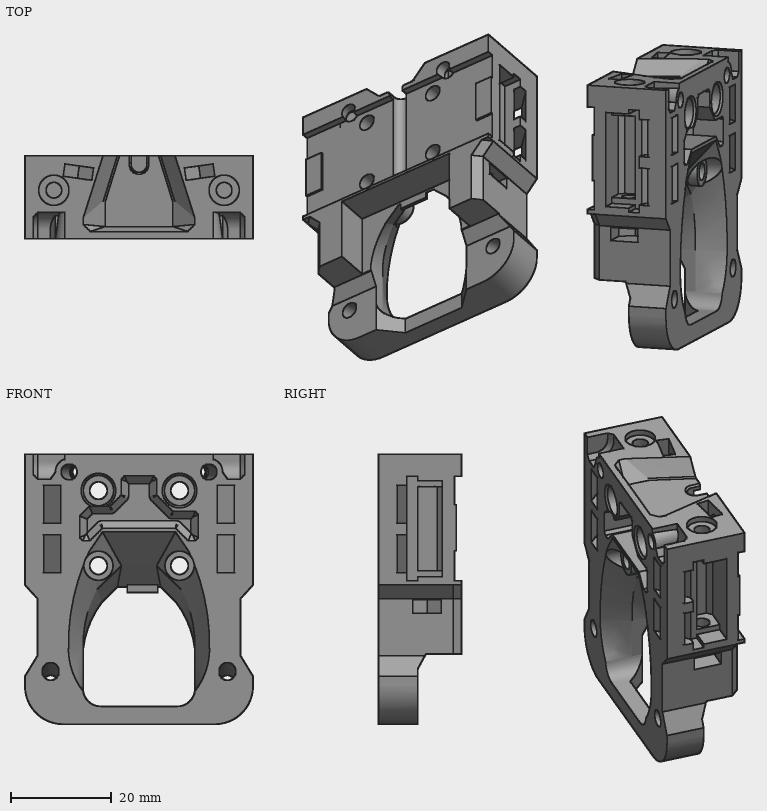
import cadquery as cq
import math

WIDTH = 45.25
DEPTH = 16.5
HEIGHT = 53.55
HALF_WIDTH = WIDTH / 2

WAIST_HALF_WIDTH = 20.15
WAIST_TOP = 24.9
SHOULDER_Z = 27.65
WAIST_BOTTOM = 13.6
FOOT_SHOULDER_Z = 9.55
FOOT_RADIUS = 7.6
FOOT_DEPTH = 7.8
FOOT_STEP_DEPTH = 9.45
FOOT_STEP_Z = 13.95
FOOT_STEP_LOW_Z = 11.0
REAR_CHAMFER = 1.65

SCREW_X = 8.05
UPPER_SCREW_Z = 46.35
LOWER_SCREW_Z = 31.45
SCREW_RADIUS = 1.7
SEAT_RADIUS = 3.0
SEAT_RIM = 0.45
SEAT_DEPTH = 4.6
BOSS_RADIUS = 2.9
BOSS_FRONT = 3.2

TOP_HOLE_X = 13.9
TOP_HOLE_Z = 50.05
TOP_HOLE_RADIUS = 1.55
TOP_HOLE_LEAN = 8.0
FOOT_HOLE_X = 17.5
FOOT_HOLE_Z = 10.5
FOOT_HOLE_RADIUS = 1.65
FOOT_HOLE_LEAN = 18.0

POST_X = 16.9
POST_Y = 9.65
POST_RADIUS = 1.55
POST_SEAT_RADIUS = 3.0
POST_SEAT_DEPTH = 1.2
NUT_FLATS = 5.75
NUT_CORNERS = NUT_FLATS / math.cos(math.pi / 6)
HALF_HEX_ANGLE = 30
NUT_THICKNESS = 2.45
TOP_NUT_Y = 13.25
SIDE_NUT_BOTTOM = 22.0
SIDE_NUT_TOP = 24.7

FUNNEL_DEPTH = 5.6
THROAT_BACK = 9.65
TUBE_HALF_WIDTH = 11.05
SILL_Z = 3.6
TUBE_BOTTOM = (7.5, SILL_Z)
TUBE_CORNER = (9.95, 4.5)
TUBE_SIDE = (TUBE_HALF_WIDTH, 6.55)
TUBE_BELLY = (TUBE_HALF_WIDTH, 15.0)
FRONT_SECTION = ((13.05, 10.05), (14.0, 14.45), (13.05, 24.65), (9.85, 34.3), (7.25, 38.15))
FUNNEL_END_SECTION = (None, TUBE_BELLY, (10.4, 21.45), (8.3, 26.8), (3.5, 31.45))
THROAT_END_SECTION = (None, TUBE_BELLY, (9.8, 19.8), (7.4, 24.1), (4.3, 27.2))
HOLLOW_HALF_WIDTH = 13.1
HOLLOW_TOP = 27.85
SILL_DEPTH = 3.65
TONGUE_LEFT = -2.35
TONGUE_RIGHT = 3.75
TONGUE_BOTTOM = 26.1
TONGUE_FRONT = 9.1

POCKET_STEP_X = 18.85
POCKET_INNER_X = 13.95
POCKET_BACK = 12.7
CORE_BEVEL = 1.0
STEP_BOTTOM = 29.3
STEP_TOP = 48.3
CORE_BOTTOM = 30.5
CORE_TOP = 47.15
POCKET_MIDDLE = 7.8
POCKET_FRONT = 5.6
WINDOW_INNER_X = 15.5
WINDOW_HEIGHT = 7.5
WINDOW_BOTTOMS = (30.05, 39.85)

RECESS_BOTTOM = 28.5
RECESS_TOP = 49.2
RECESS_DEPTH = 1.4
PAD_BOTTOM = 34.4
PAD_TOP = 43.55
PAD_HEIGHT = 0.4

TRAY_DEPTH = 3.2
TRAY_REAR_TOP = 7.1
TRAY_REAR_FLOOR = 4.3
TRAY_SIDE_TOP = 11.05
TRAY_SIDE_FLOOR = 7.05
TRAY_SIDE_TOP_Y = 4.25
TRAY_SIDE_FLOOR_Y = 7.5
TRAY_TOP_FRONT = 1.45
TRAY_FLOOR_FRONT = 2.35
TRAY_TOP_CORNER = 1.4
TRAY_FLOOR_CORNER = 0.1
TRAY_BEVEL = 0.45
SLOT_HALF_WIDTH = 1.55
SLOT_BEVEL = 0.4
SLOT_TIP_Y = 13.2

NOTCH_OUTER_X = 21.0
NOTCH_INNER_X = 14.7
NOTCH_DEPTH = 5.25
NOTCH_BOTTOM = 48.6
NOTCH_FLOOR_RADIUS = 3.45
NOTCH_CHAMFER = 0.95
TOP_HOLE_SLEEVE = 2.7
SLEEVE_FOOT_X = 17.55

FRONT_RECESS_DEPTH = 7.8
FRONT_RECESS_INSET = 1.5
RECESS_ARM_X = 11.8
RECESS_ARM_BOTTOM = 36.4
RECESS_LEFT_ARM_TOP = 43.25
RECESS_RIGHT_ARM_TOP = 42.2
RECESS_BAR_X = 7.25
RECESS_BAR_TOP = 38.9
RECESS_CROWN_X = 3.55
RECESS_CROWN_FOOT = 45.45
RECESS_CROWN_TOP = 49.25
RECESS_CORNER_CUT = 0.65
RECESS_SHOULDER_CUT = 1.95

SIDES = (-1, 1)


def box(x0, x1, y0, y1, z0, z1):
    """Box between opposite corners, given in any order along each axis."""
    size = (abs(x1 - x0), abs(y1 - y0), abs(z1 - z0))
    middle = ((x0 + x1) / 2, (y0 + y1) / 2, (z0 + z1) / 2)
    return cq.Workplane("XY").box(*size).translate(middle)


def front_plane(y):
    """Work plane parallel to the front face, with local axes X and Z."""
    return cq.Workplane(cq.Plane((0, y, 0), (1, 0, 0), (0, -1, 0)))


def rod(start, direction, radius, length):
    return cq.Workplane(cq.Solid.makeCylinder(radius, length, cq.Vector(*start), cq.Vector(*direction)))


def y_rod(x, z, radius, y0, y1):
    return rod((x, y0, z), (0, 1, 0), radius, y1 - y0)


def body():
    corner = FOOT_RADIUS * (1 - math.sqrt(0.5))
    foot_flat = HALF_WIDTH - FOOT_RADIUS
    outline = (
        front_plane(0)
        .moveTo(-foot_flat, 0)
        .lineTo(foot_flat, 0)
        .threePointArc((HALF_WIDTH - corner, corner), (HALF_WIDTH, FOOT_RADIUS))
        .lineTo(HALF_WIDTH, FOOT_SHOULDER_Z)
        .lineTo(WAIST_HALF_WIDTH, WAIST_BOTTOM)
        .lineTo(WAIST_HALF_WIDTH, WAIST_TOP)
        .lineTo(HALF_WIDTH, SHOULDER_Z)
        .lineTo(HALF_WIDTH, HEIGHT)
        .lineTo(-HALF_WIDTH, HEIGHT)
        .lineTo(-HALF_WIDTH, SHOULDER_Z)
        .lineTo(-WAIST_HALF_WIDTH, WAIST_TOP)
        .lineTo(-WAIST_HALF_WIDTH, WAIST_BOTTOM)
        .lineTo(-HALF_WIDTH, FOOT_SHOULDER_Z)
        .lineTo(-HALF_WIDTH, FOOT_RADIUS)
        .threePointArc((-HALF_WIDTH + corner, corner), (-foot_flat, 0))
        .close()
    )
    block = outline.extrude(-DEPTH)
    behind_foot = [
        (FOOT_DEPTH, 0),
        (FOOT_DEPTH, FOOT_STEP_LOW_Z),
        (FOOT_STEP_DEPTH, FOOT_STEP_Z),
        (DEPTH, FOOT_STEP_Z),
        (DEPTH, 0),
    ]
    return block.cut(cq.Workplane("YZ").polyline(behind_foot).close().extrude(HALF_WIDTH, both=True))


def rear_edge_chamfer(side):
    """Bevel of the rear edge along the waist and its sloping shoulder."""
    def section(half_width, z):
        return (
            cq.Workplane("XY", origin=(0, 0, z))
            .moveTo(side * half_width, DEPTH - REAR_CHAMFER)
            .lineTo(side * half_width, DEPTH)
            .lineTo(side * (half_width - REAR_CHAMFER), DEPTH)
            .close()
        )

    height = WAIST_TOP - FOOT_STEP_Z
    waist = section(WAIST_HALF_WIDTH, FOOT_STEP_Z).extrude(height)
    wires = [section(WAIST_HALF_WIDTH, WAIST_TOP).val(), section(HALF_WIDTH, SHOULDER_Z).val()]
    return waist.union(cq.Workplane(cq.Solid.makeLoft(wires, True)))


def opening_section(y, lower_bulge, belly, flank, shoulder, top):
    """Wire of the big opening; points are (half width, Z) pairs, mirrored about X = 0.

    Without a lower bulge the side runs straight up from the bottom corner to the belly.
    """
    bottom, corner, side = TUBE_BOTTOM, TUBE_CORNER, TUBE_SIDE

    def mirrored(point):
        return (-point[0], point[1])

    outline = front_plane(y).moveTo(*mirrored(bottom)).lineTo(*bottom).threePointArc(corner, side)
    if lower_bulge:
        outline = outline.threePointArc(lower_bulge, belly)
    else:
        outline = outline.lineTo(*belly)
    outline = outline.threePointArc(flank, shoulder).lineTo(*top).lineTo(*mirrored(top))
    outline = outline.lineTo(*mirrored(shoulder)).threePointArc(mirrored(flank), mirrored(belly))
    if lower_bulge:
        outline = outline.threePointArc(mirrored(lower_bulge), mirrored(side))
    else:
        outline = outline.lineTo(*mirrored(side))
    return outline.threePointArc(mirrored(corner), mirrored(bottom)).close().val()


def opening():
    """Straight tube through the part, widened by a funnel at the front and a taller throat."""
    front = opening_section(0, *FRONT_SECTION)
    middle = opening_section(FUNNEL_DEPTH, *FUNNEL_END_SECTION)
    rear = opening_section(THROAT_BACK, *THROAT_END_SECTION)
    mouth = cq.Workplane(cq.Solid.makeLoft([front, middle], True))
    throat = cq.Workplane(cq.Solid.makeLoft([middle, rear], True))
    tongue = box(TONGUE_LEFT, TONGUE_RIGHT, TONGUE_FRONT, THROAT_BACK, TONGUE_BOTTOM, SHOULDER_Z)
    return mouth.union(throat.cut(tongue))


def rear_hollow():
    """Hollow behind the throat, open downwards, with the foot thinned behind the sill."""
    width = HOLLOW_HALF_WIDTH
    hollow = box(-width, width, THROAT_BACK, DEPTH, 0, HOLLOW_TOP)
    sill_half_width = TUBE_HALF_WIDTH - (FOOT_DEPTH - SILL_DEPTH)
    thinning = [
        (-sill_half_width, SILL_DEPTH),
        (sill_half_width, SILL_DEPTH),
        (TUBE_HALF_WIDTH, FOOT_DEPTH),
        (TUBE_HALF_WIDTH, THROAT_BACK),
        (-TUBE_HALF_WIDTH, THROAT_BACK),
        (-TUBE_HALF_WIDTH, FOOT_DEPTH),
    ]
    return hollow.union(cq.Workplane("XY").polyline(thinning).close().extrude(FOOT_STEP_Z))


def lower_screw_bosses():
    bosses = cq.Workplane()
    for x in (-SCREW_X, SCREW_X):
        bosses = bosses.add(y_rod(x, LOWER_SCREW_Z, BOSS_RADIUS, BOSS_FRONT, THROAT_BACK))
    return bosses.combine()


def screw_holes():
    """Four straight holes; the upper two are seated behind a bevelled rim."""
    holes = cq.Workplane()
    for x in (-SCREW_X, SCREW_X):
        for z in (LOWER_SCREW_Z, UPPER_SCREW_Z):
            holes = holes.add(y_rod(x, z, SCREW_RADIUS, 0, DEPTH))
        holes = holes.add(y_rod(x, LOWER_SCREW_Z, BOSS_RADIUS, 0, BOSS_FRONT))
        holes = holes.add(y_rod(x, UPPER_SCREW_Z, SEAT_RADIUS, 0, SEAT_DEPTH))
        rim = cq.Solid.makeCone(
            SEAT_RADIUS + SEAT_RIM, SEAT_RADIUS, SEAT_RIM, cq.Vector(x, 0, UPPER_SCREW_Z), cq.Vector(0, 1, 0)
        )
        holes = holes.add(cq.Workplane(rim))
    return holes.combine()


def top_hole_rod(side, radius):
    """Rod along a leaning top hole, long enough to pass through both faces."""
    lean = math.tan(math.radians(TOP_HOLE_LEAN))
    overrun = DEPTH / 4
    start = (side * (TOP_HOLE_X + lean * overrun), -overrun, TOP_HOLE_Z)
    return rod(start, (-side * lean, 1, 0), radius, DEPTH + 2 * overrun)


def foot_hole(side):
    lean = math.tan(math.radians(FOOT_HOLE_LEAN))
    start = (side * FOOT_HOLE_X, -FOOT_DEPTH, FOOT_HOLE_Z + lean * FOOT_DEPTH)
    return rod(start, (0, 1, -lean), FOOT_HOLE_RADIUS, 4 * FOOT_DEPTH)


def top_nut_trap(side):
    """Slot from the top face whose lower end holds a hexagonal nut, square to the leaning hole."""
    lean = math.tan(math.radians(TOP_HOLE_LEAN))
    hexagon = (
        cq.Workplane("XZ")
        .polygon(6, NUT_CORNERS)
        .extrude(NUT_THICKNESS / 2, both=True)
        .rotate((0, 0, 0), (0, 1, 0), HALF_HEX_ANGLE)
    )
    rise = HEIGHT - TOP_HOLE_Z
    half_nut = NUT_FLATS / 2
    entry = box(-half_nut, half_nut, -NUT_THICKNESS / 2, NUT_THICKNESS / 2, 0, rise)
    trap = hexagon.union(entry).rotate((0, 0, 0), (0, 0, 1), side * TOP_HOLE_LEAN)
    return trap.translate((side * (TOP_HOLE_X - lean * TOP_NUT_Y), TOP_NUT_Y, TOP_HOLE_Z))


def post_hole(side):
    """Vertical screw hole from its seat in the top face down to the side nut trap."""
    x = side * POST_X
    shaft = rod((x, POST_Y, SIDE_NUT_BOTTOM), (0, 0, 1), POST_RADIUS, HEIGHT - SIDE_NUT_BOTTOM)
    seat = rod((x, POST_Y, HEIGHT - POST_SEAT_DEPTH), (0, 0, 1), POST_SEAT_RADIUS, POST_SEAT_DEPTH)
    return shaft.union(seat)


def side_nut_trap(side):
    height = SIDE_NUT_TOP - SIDE_NUT_BOTTOM
    x = side * POST_X
    half_nut = NUT_FLATS / 2
    hexagon = (
        cq.Workplane("XY", origin=(x, POST_Y, SIDE_NUT_BOTTOM))
        .polygon(6, NUT_CORNERS)
        .extrude(height)
    )
    outer_x = side * HALF_WIDTH
    entry = box(x, outer_x, POST_Y - half_nut, POST_Y + half_nut, SIDE_NUT_BOTTOM, SIDE_NUT_TOP)
    return hexagon.union(entry)


def side_pocket(side):
    """Stepped pocket in a side face, with two windows running into it at 45 degrees."""
    outer, step, inner = side * HALF_WIDTH, side * POCKET_STEP_X, side * POCKET_INNER_X
    pocket = box(outer, step, POCKET_MIDDLE, POCKET_BACK, STEP_BOTTOM, STEP_TOP)
    core = [
        (outer, POCKET_MIDDLE),
        (inner, POCKET_MIDDLE),
        (inner, POCKET_BACK - CORE_BEVEL),
        (inner + side * CORE_BEVEL, POCKET_BACK),
        (outer, POCKET_BACK),
    ]
    core_base = cq.Workplane("XY", origin=(0, 0, CORE_BOTTOM))
    pocket = pocket.union(core_base.polyline(core).close().extrude(CORE_TOP - CORE_BOTTOM))
    pocket = pocket.union(box(outer, step, POCKET_FRONT, POCKET_MIDDLE, RECESS_BOTTOM, RECESS_TOP))
    passage = [
        (side * WINDOW_INNER_X, 0),
        (step, 0),
        (outer, HALF_WIDTH - POCKET_STEP_X),
        (outer, HALF_WIDTH - WINDOW_INNER_X),
    ]
    for z in WINDOW_BOTTOMS:
        window = cq.Workplane("XY", origin=(0, 0, z)).polyline(passage).close().extrude(WINDOW_HEIGHT)
        pocket = pocket.union(window)
    return pocket


def rear_recess():
    """Shallow recess across the rear face that leaves a low pad on both side walls."""
    floor = DEPTH - RECESS_DEPTH
    recess = box(-HALF_WIDTH, HALF_WIDTH, floor, DEPTH, RECESS_BOTTOM, RECESS_TOP)
    for side in SIDES:
        pad = box(side * POCKET_STEP_X, side * HALF_WIDTH, floor, floor + PAD_HEIGHT, PAD_BOTTOM, PAD_TOP)
        recess = recess.cut(pad)
    return recess


def tray():
    """Sunken tray that narrows towards the rear, with a bevel around its floor."""
    def section(z, inset, rear, side_y, side, front_y, corner):
        half = [
            (rear - inset, DEPTH),
            (side - inset, side_y),
            (side - inset, front_y + corner),
            (side - inset - corner, front_y),
        ]
        mirrored = [(-x, y) for x, y in reversed(half)]
        return cq.Workplane("XY", origin=(0, 0, z)).polyline(half + mirrored).close().val()

    low = (TRAY_REAR_FLOOR, TRAY_SIDE_FLOOR_Y, TRAY_SIDE_FLOOR, TRAY_FLOOR_FRONT, TRAY_FLOOR_CORNER)
    high = (TRAY_REAR_TOP, TRAY_SIDE_TOP_Y, TRAY_SIDE_TOP, TRAY_TOP_FRONT, TRAY_TOP_CORNER)
    floor_z = HEIGHT - TRAY_DEPTH
    bevel_z = floor_z + TRAY_BEVEL / 2
    floor = section(floor_z, TRAY_BEVEL, *low)
    wall_foot = section(bevel_z, 0, *low)
    rim = section(HEIGHT, 0, *high)
    return cq.Workplane(cq.Solid.makeLoft([floor, wall_foot, rim], True))


def rear_slot():
    """Round-ended slot with a bevelled rim, from the tray floor into the rear recess."""
    round_y = SLOT_TIP_Y + SLOT_HALF_WIDTH
    overrun_y = DEPTH + SLOT_HALF_WIDTH
    bevel_z = HEIGHT - TRAY_DEPTH - SLOT_BEVEL

    def outline(z):
        return (
            cq.Workplane("XY", origin=(0, 0, z))
            .moveTo(SLOT_HALF_WIDTH, overrun_y)
            .lineTo(SLOT_HALF_WIDTH, round_y)
            .threePointArc((0, SLOT_TIP_Y), (-SLOT_HALF_WIDTH, round_y))
            .lineTo(-SLOT_HALF_WIDTH, overrun_y)
            .close()
        )

    shaft = outline(RECESS_BOTTOM).extrude(bevel_z - RECESS_BOTTOM)
    return shaft.union(outline(bevel_z).extrude(SLOT_BEVEL, taper=-45))


def corner_notch(side):
    """Scooped notch beside a top hole, whose flared sleeve is left standing."""
    notch = (
        box(NOTCH_INNER_X, NOTCH_OUTER_X, 0, NOTCH_DEPTH, NOTCH_BOTTOM, HEIGHT)
        .edges(">Y and <Z")
        .fillet(NOTCH_FLOOR_RADIUS)
        .faces(">X")
        .edges("not(<Y or >Z)")
        .chamfer(NOTCH_CHAMFER)
    )
    sleeve_side = TOP_HOLE_X + TOP_HOLE_SLEEVE
    foot = [
        (NOTCH_INNER_X, NOTCH_BOTTOM),
        (SLEEVE_FOOT_X, NOTCH_BOTTOM),
        (sleeve_side, TOP_HOLE_Z),
        (NOTCH_INNER_X, TOP_HOLE_Z),
    ]
    notch = notch.cut(front_plane(0).polyline(foot).close().extrude(-NOTCH_DEPTH))
    if side < 0:
        notch = notch.mirror("YZ")
    return notch.cut(top_hole_rod(side, TOP_HOLE_SLEEVE))


def front_recess():
    """Stepped recess in the front face, with a 45 degree bevel around its floor."""
    low, bar = RECESS_ARM_BOTTOM, RECESS_BAR_TOP
    crown, crown_x = RECESS_CROWN_TOP, RECESS_CROWN_X
    arm_x, bar_x, cut = RECESS_ARM_X, RECESS_BAR_X, RECESS_CORNER_CUT
    rise = bar - low
    left_run = RECESS_CROWN_FOOT - RECESS_LEFT_ARM_TOP
    right_run = RECESS_CROWN_FOOT - RECESS_RIGHT_ARM_TOP
    outline = [
        (-bar_x, bar),
        (-bar_x - rise, low),
        (-arm_x + cut, low),
        (-arm_x, low + cut),
        (-arm_x, RECESS_LEFT_ARM_TOP - RECESS_SHOULDER_CUT),
        (-arm_x + RECESS_SHOULDER_CUT, RECESS_LEFT_ARM_TOP),
        (-crown_x - left_run, RECESS_LEFT_ARM_TOP),
        (-crown_x, RECESS_CROWN_FOOT),
        (-crown_x, crown - cut),
        (-crown_x + cut, crown),
        (crown_x - cut, crown),
        (crown_x, crown - cut),
        (crown_x, RECESS_CROWN_FOOT),
        (crown_x + right_run, RECESS_RIGHT_ARM_TOP),
        (arm_x - cut, RECESS_RIGHT_ARM_TOP),
        (arm_x, RECESS_RIGHT_ARM_TOP - cut),
        (arm_x, low + cut),
        (arm_x - cut, low),
        (bar_x + rise, low),
        (bar_x, bar),
    ]
    straight_depth = FRONT_RECESS_DEPTH - FRONT_RECESS_INSET
    straight = front_plane(0).polyline(outline).close().extrude(-straight_depth)
    bevelled = front_plane(straight_depth).polyline(outline).close()
    return straight.union(bevelled.extrude(-FRONT_RECESS_INSET, taper=45))


result = body().cut(opening()).cut(rear_hollow()).union(lower_screw_bosses())
result = result.cut(screw_holes()).cut(rear_recess()).cut(tray()).cut(rear_slot()).cut(front_recess())
for side in SIDES:
    result = result.cut(rear_edge_chamfer(side))
    result = result.cut(side_pocket(side))
    result = result.cut(top_hole_rod(side, TOP_HOLE_RADIUS))
    result = result.cut(top_nut_trap(side))
    result = result.cut(corner_notch(side))
    result = result.cut(post_hole(side))
    result = result.cut(side_nut_trap(side))
    result = result.cut(foot_hole(side))